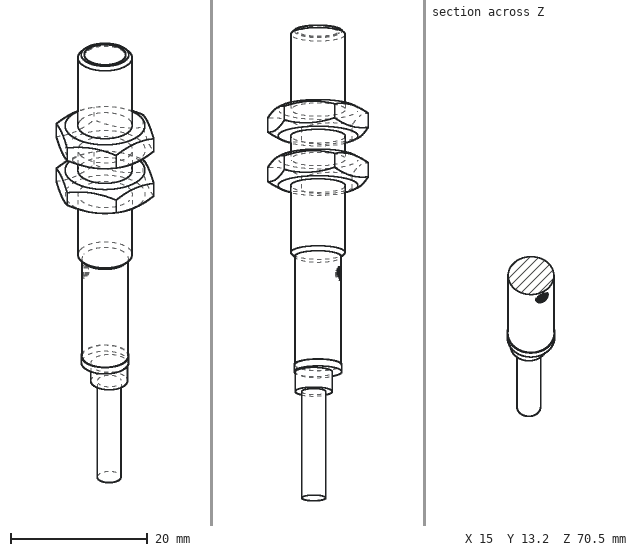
import cadquery as cq
import math

length = 70.5

barrel_diameter = 8.0
face_rim_diameter = 7.0
barrel_bottom = 36.45
face_chamfer = (barrel_diameter - face_rim_diameter) / 2

groove_outer_diameter = 6.1
groove_inner_diameter = 6.05
groove_depth = 0.2

housing_diameter = 6.8
collar_diameter = 7.0
collar_bottom = 19.0
collar_height = 1.05
collar_top = collar_bottom + collar_height
barrel_end_chamfer = (barrel_diameter - housing_diameter) / 2

cable_offset = 0.6
gland_diameter = 5.4
gland_bottom = 16.1
cable_diameter = 3.5

nut_across_corners = 15.0
nut_thickness = 4.0
nut_face_diameter = 11.7
nut_turn = 1.9
nut_chamfer_angle = 30.0
nut_tops = (58.65, 51.2)

adjuster_height = 33.7
adjuster_steps = ((2.0, 0.3), (1.5, 0.5), (1.0, 0.7))


def cylinder(diameter, bottom, top, x=0.0):
    """Upright cylinder between two heights."""
    return cq.Workplane("XY", origin=(x, 0, bottom)).circle(diameter / 2).extrude(top - bottom)


def make_barrel():
    """Barrel with both ends chamfered and a groove around the sensing face."""
    barrel = cylinder(barrel_diameter, barrel_bottom, length)
    barrel = barrel.faces(">Z").chamfer(face_chamfer)
    barrel = barrel.faces("<Z").chamfer(barrel_end_chamfer)
    groove = (
        cq.Workplane("XY", origin=(0, 0, length - groove_depth))
        .circle(groove_outer_diameter / 2)
        .circle(groove_inner_diameter / 2)
        .extrude(groove_depth)
    )
    return barrel.cut(groove)


def make_nut(top):
    """Hexagonal nut blank with its corners turned down by a cone on both faces."""
    bottom = top - nut_thickness
    hexagon = (
        cq.Workplane("XY", origin=(0, 0, bottom))
        .polygon(6, nut_across_corners)
        .extrude(nut_thickness)
        .rotate((0, 0, 0), (0, 0, 1), nut_turn)
    )
    corner_radius = nut_across_corners / 2
    face_radius = nut_face_diameter / 2
    corner_drop = (corner_radius - face_radius) * math.tan(math.radians(nut_chamfer_angle))
    envelope = (
        cq.Workplane("XZ")
        .moveTo(0, bottom)
        .lineTo(face_radius, bottom)
        .lineTo(corner_radius, bottom + corner_drop)
        .lineTo(corner_radius, top - corner_drop)
        .lineTo(face_radius, top)
        .lineTo(0, top)
        .close()
        .revolve(360, (0, 0, 0), (0, 1, 0))
    )
    return hexagon.intersect(envelope)


def make_adjuster_hole():
    """Concentric steps, each narrower and deeper, drilled inwards along +X."""
    surface = -housing_diameter / 2
    hole = cq.Workplane("YZ")
    for diameter, depth in adjuster_steps:
        step = (
            cq.Workplane("YZ", origin=(surface, 0, adjuster_height))
            .circle(diameter / 2)
            .extrude(depth)
        )
        hole = hole.add(step)
    return hole.combine()


housing = cylinder(housing_diameter, collar_top, barrel_bottom).cut(make_adjuster_hole())
collar = cylinder(collar_diameter, collar_bottom, collar_top)
gland = cylinder(gland_diameter, gland_bottom, collar_bottom, cable_offset)
cable = cylinder(cable_diameter, 0, gland_bottom, cable_offset)

result = make_barrel().union(housing).union(collar).union(gland).union(cable)
for nut_top in nut_tops:
    result = result.union(make_nut(nut_top))